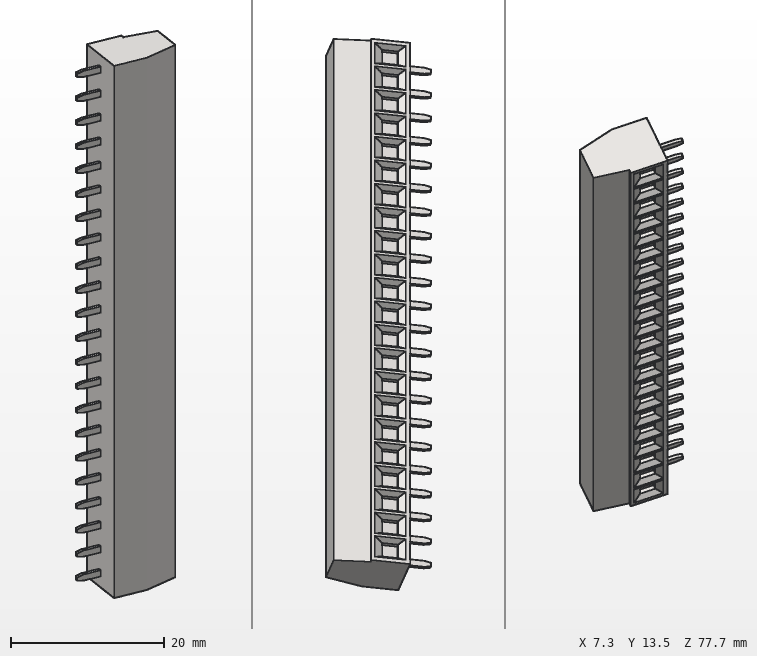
import cadquery as cq

CONTACT_COUNT = 22
PITCH = 3.5
END_MARGIN = 0.35

HOUSING_WIDTH = 7.3
HOUSING_HEIGHT = 10.0
HOUSING_LENGTH = CONTACT_COUNT * PITCH + 2 * END_MARGIN
ENTRY_SHOULDER_HEIGHT = 5.2
BACK_SHOULDER_HEIGHT = 4.9
SHOULDER_LEDGE = 0.5
ENTRY_SIDE_INSET = 1.1
BACK_SIDE_INSET = 1.45

PIN_LENGTH = 3.5
PIN_THICKNESS = 0.5
PIN_WIDTH = 0.9
PIN_X = 3.5
PIN_TIP_LENGTH = 0.9
PIN_TIP_WIDTH = 0.5

FUNNEL_DEPTH = 0.7
POCKET_DEPTH = 0.6
FUNNEL_MOUTH_LOW = 0.6
FUNNEL_MOUTH_HIGH = 4.75
FUNNEL_MOUTH_LENGTH = 3.1
FUNNEL_FLOOR_LOW = 1.45
FUNNEL_FLOOR_HIGH = 3.6
FUNNEL_FLOOR_LENGTH = 2.0

CONTACT_POSITIONS = [END_MARGIN + PITCH * (i + 0.5) for i in range(CONTACT_COUNT)]


def make_housing():
    """Extrude the terminal block profile along Z."""
    outline = [
        (0, 0),
        (HOUSING_WIDTH, 0),
        (HOUSING_WIDTH, BACK_SHOULDER_HEIGHT),
        (HOUSING_WIDTH - BACK_SIDE_INSET, HOUSING_HEIGHT),
        (ENTRY_SIDE_INSET, HOUSING_HEIGHT),
        (SHOULDER_LEDGE, ENTRY_SHOULDER_HEIGHT),
        (0, ENTRY_SHOULDER_HEIGHT),
    ]
    return cq.Workplane("XY").polyline(outline).close().extrude(HOUSING_LENGTH)


def make_wire_entry(z):
    """Tapered funnel and straight pocket to cut into the -X face, centred at height z."""
    mouth_middle = (FUNNEL_MOUTH_LOW + FUNNEL_MOUTH_HIGH) / 2
    floor_middle = (FUNNEL_FLOOR_LOW + FUNNEL_FLOOR_HIGH) / 2
    floor_height = FUNNEL_FLOOR_HIGH - FUNNEL_FLOOR_LOW
    funnel = (
        cq.Workplane("YZ")
        .center(mouth_middle, z)
        .rect(FUNNEL_MOUTH_HIGH - FUNNEL_MOUTH_LOW, FUNNEL_MOUTH_LENGTH)
        .workplane(offset=FUNNEL_DEPTH)
        .center(floor_middle - mouth_middle, 0)
        .rect(floor_height, FUNNEL_FLOOR_LENGTH)
        .loft(ruled=True)
    )
    pocket = (
        cq.Workplane("YZ", origin=(FUNNEL_DEPTH, floor_middle, z))
        .rect(floor_height, FUNNEL_FLOOR_LENGTH)
        .extrude(POCKET_DEPTH)
    )
    return funnel.union(pocket)


def make_pin(z):
    """Flat pin pointing to -Y with a tip narrowed along Z, centred at height z."""
    half_width = PIN_WIDTH / 2
    half_tip = PIN_TIP_WIDTH / 2
    tip_start = PIN_TIP_LENGTH - PIN_LENGTH
    outline = [
        (0, z - half_width),
        (0, z + half_width),
        (tip_start, z + half_width),
        (-PIN_LENGTH, z + half_tip),
        (-PIN_LENGTH, z - half_tip),
        (tip_start, z - half_width),
    ]
    return (
        cq.Workplane("YZ", origin=(PIN_X - PIN_THICKNESS / 2, 0, 0))
        .polyline(outline)
        .close()
        .extrude(PIN_THICKNESS)
    )


result = make_housing()
for position in CONTACT_POSITIONS:
    result = result.cut(make_wire_entry(position)).union(make_pin(position))